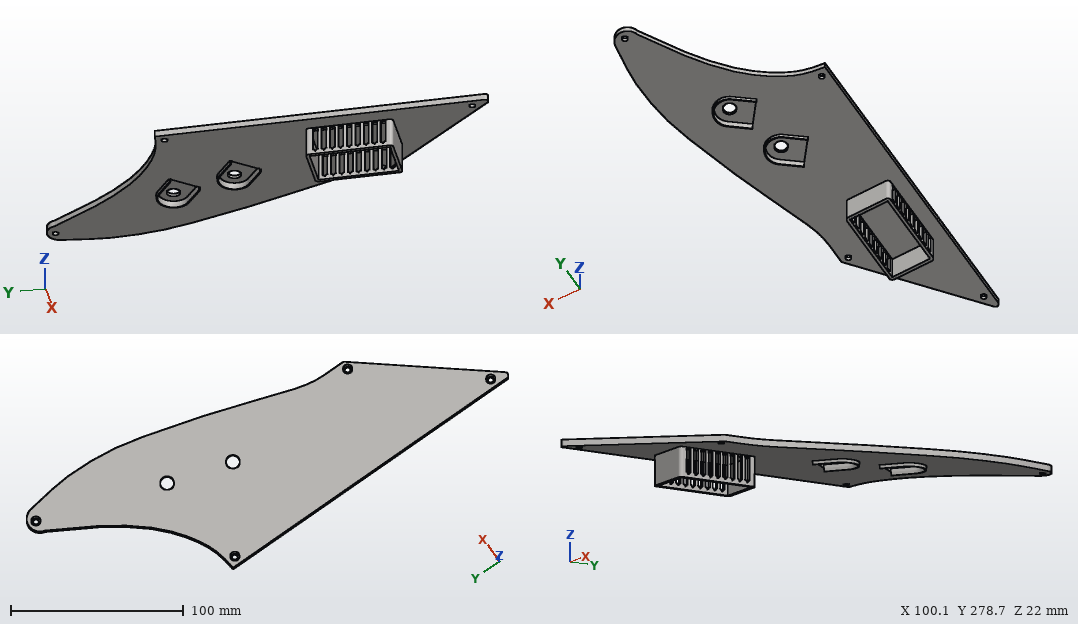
import cadquery as cq
import math

plate_width = 100.06
plate_length = 278.65
plate_thickness = 4.0
left_edge_top = 196.8
right_corner_x = 63.0
right_corner_y = 73.4
straight_side_top = 87.0
corner_radius = 2.0

horn_tip_x = 89.0
horn_left = (81.3, 272.6)
horn_right = (96.4, 272.4)

bulged_side = [(66.7, 107.5), (78.0, 140.6), (92.2, 187.6), (97.9, 212.0), (plate_width, 239.0)]
hollow_side = [(69.2, 251.6), (54.6, 230.2), (35.6, 211.1), (18.6, 200.9)]
bulged_side_ends = [(0, 1), (-0.15, 1)]
hollow_side_ends = [(-0.5, -0.87), (-1, -0.1)]

screw_diameter = 3.5
screw_head_diameter = 5.5
countersink_angle = 90
screw_inset = 5.0
screw_places = [
    (screw_inset, 10.0),
    (screw_inset, 192.0),
    (right_corner_x - screw_inset, 74.0),
    (horn_tip_x, plate_length - screw_inset),
]

shaft_diameter = 8.0
shaft_places = [(51.6, 160.2), (63.35, 198.6)]
wall_outer_radius = 10.2
wall_thickness = 1.2
wall_height = 2.0
wall_draft = 9.0
wall_arm_length = 14.5
wall_turn = 218.0
pocket_depth = 2.0

frame_left, frame_right = 9.3, 38.8
frame_front, frame_back = 57.95, 109.45
frame_depth = 18.0
frame_thickness = 2.0
frame_corner_radius = 2.0

slot_count = 9
slot_pitch = 5.0
slot_width = 3.0
slot_gap = 1.0
slot_rim = 2.0


def make_plate():
    r = corner_radius
    run = right_corner_x - r
    rise = right_corner_y - r
    slope = math.atan2(rise, run) - math.asin(r / math.hypot(run, rise))
    arc_middle = (r - r * math.sin(slope / 2), r - r * math.cos(slope / 2))
    arc_end = (r + r * math.sin(slope), r - r * math.cos(slope))
    plate = (
        cq.Workplane("XY")
        .moveTo(0, r)
        .threePointArc(arc_middle, arc_end)
        .lineTo(right_corner_x, right_corner_y)
        .lineTo(right_corner_x, straight_side_top)
        .spline([*bulged_side, horn_right], tangents=bulged_side_ends, includeCurrent=True)
        .threePointArc((horn_tip_x, plate_length), horn_left)
        .spline([*hollow_side, (0, left_edge_top)], tangents=hollow_side_ends, includeCurrent=True)
        .close()
        .extrude(-plate_thickness)
    )
    right_corner = cq.selectors.NearestToPointSelector(
        (right_corner_x, right_corner_y, -plate_thickness / 2)
    )
    return plate.edges("|Z").edges(right_corner).fillet(corner_radius)


def place_under_plate(shape, x, y):
    turned = shape.rotate((0, 0, 0), (0, 0, 1), wall_turn)
    return turned.translate((x, y, -plate_thickness))


def locating_wall():
    inner_radius = wall_outer_radius - wall_thickness
    drawn_length = wall_arm_length + wall_height
    wall = (
        cq.Workplane("XY")
        .moveTo(drawn_length, wall_outer_radius)
        .lineTo(0, wall_outer_radius)
        .threePointArc((-wall_outer_radius, 0), (0, -wall_outer_radius))
        .lineTo(drawn_length, -wall_outer_radius)
        .lineTo(drawn_length, -inner_radius)
        .lineTo(0, -inner_radius)
        .threePointArc((-inner_radius, 0), (0, inner_radius))
        .lineTo(drawn_length, inner_radius)
        .close()
        .extrude(-wall_height, taper=wall_draft)
    )
    excess = (
        cq.Workplane("XY", origin=(wall_arm_length + wall_height, 0, 0))
        .rect(2 * wall_height, 4 * wall_outer_radius)
        .extrude(-wall_height)
    )
    return wall.cut(excess)


def shaft_pocket():
    radius = wall_outer_radius - wall_thickness
    return (
        cq.Workplane("XY")
        .moveTo(wall_arm_length, radius)
        .lineTo(0, radius)
        .threePointArc((-radius, 0), (0, -radius))
        .lineTo(wall_arm_length, -radius)
        .close()
        .extrude(pocket_depth)
    )


def slot_cutter():
    half = slot_width / 2
    tip_z = slot_rim - frame_depth
    return (
        cq.Workplane("YZ")
        .moveTo(-half, -slot_gap)
        .lineTo(half, -slot_gap)
        .lineTo(half, tip_z + half)
        .lineTo(0, tip_z)
        .lineTo(-half, tip_z + half)
        .close()
        .extrude(frame_right - frame_left)
    )


def battery_frame():
    width = frame_right - frame_left
    length = frame_back - frame_front
    middle_x = (frame_left + frame_right) / 2
    middle_y = (frame_front + frame_back) / 2
    base = cq.Workplane("XY", origin=(middle_x, middle_y, -plate_thickness))
    block = base.rect(width, length).extrude(-frame_depth).edges("|Z").fillet(frame_corner_radius)
    opening = base.rect(width - 2 * frame_thickness, length - 2 * frame_thickness).extrude(-frame_depth)
    frame = block.cut(opening)
    first_slot_y = middle_y - (slot_count - 1) / 2 * slot_pitch
    for number in range(slot_count):
        slot_y = first_slot_y + number * slot_pitch
        frame = frame.cut(slot_cutter().translate((frame_left, slot_y, -plate_thickness)))
    return frame


result = make_plate().union(battery_frame())
for shaft_x, shaft_y in shaft_places:
    result = result.union(place_under_plate(locating_wall(), shaft_x, shaft_y))
    result = result.cut(place_under_plate(shaft_pocket(), shaft_x, shaft_y))

result = result.faces(">Z").workplane(origin=(0, 0, 0)).pushPoints(shaft_places).hole(shaft_diameter)
result = (
    result.faces(">Z")
    .workplane(origin=(0, 0, 0))
    .pushPoints(screw_places)
    .cskHole(screw_diameter, screw_head_diameter, countersink_angle)
)